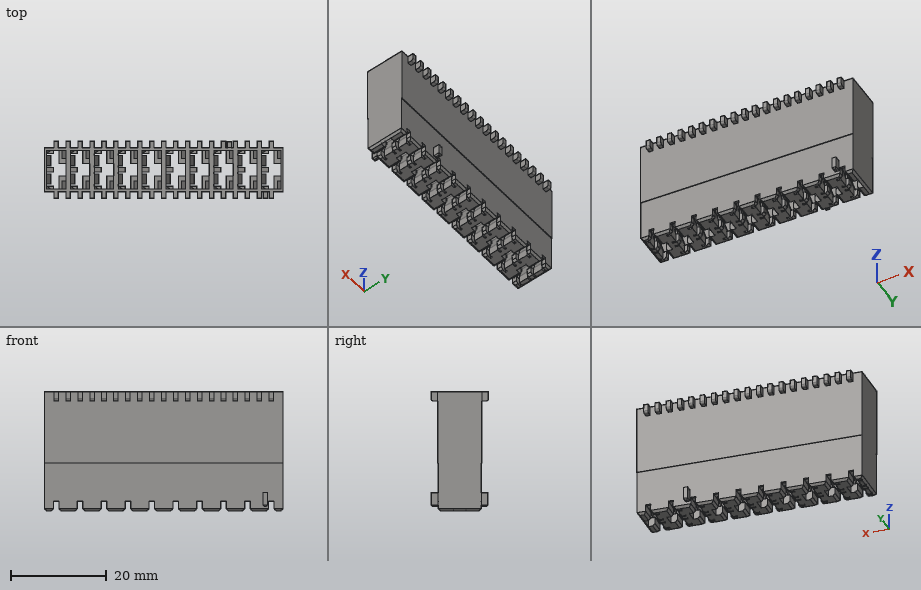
import cadquery as cq

CELL_COUNT = 10
CELL_PITCH = 5.0
LENGTH = CELL_COUNT * CELL_PITCH
HEIGHT = 25.0
UPPER_DEPTH = 9.25
LOWER_DEPTH = 9.0
STEP_Z = 10.0
BOTTOM_CHAMFER = 0.5

CELL_WIDTH = 4.0
CELL_DEPTH = 8.0

SLOT_WIDTH = 1.1
SLOT_HEIGHT = 2.0

DEPTH_OVER_RIBS = 12.0
RIB_WIDTH = 0.95
RIB_PITCH = CELL_PITCH / 2
RIB_COUNT = 2 * CELL_COUNT - 1
RIB_HEIGHT = 2.0
RIB_FILLET = 0.5

KEY_BOTTOM_Z = 0.95
KEY_TOP_Z = 3.85
KEY_CHAMFER = 0.3
FRONT_KEY_X = 8.5 * RIB_PITCH
BACK_KEY_X = 5.5 * RIB_PITCH
FRONT_KEY_REACH = DEPTH_OVER_RIBS / 2
BACK_KEY_REACH = 5.9

MIDDLE_PAD_HALF_DEPTH = 0.5
MIDDLE_PAD_RISE = 0.5
SPRING_INNER_Y = 0.83
SPRING_OUTER_Y = 3.0
SPRING_WIDTH = 0.9
SPRING_RISE = 3.3
CORNER_PAD_INNER_Y = 3.4
GUSSET_LENGTH = 0.8
GUSSET_HEIGHT = 2.5
LEDGE_INNER_Y = 1.28
LEDGE_RAMP_INNER_Y = 2.33
LEDGE_RAMP_WIDTH = 0.75
LEDGE_RAMP_RISE = 3.0

HALF_CELL_WIDTH = CELL_WIDTH / 2
HALF_CELL_DEPTH = CELL_DEPTH / 2
PAD_WIDTH = HALF_CELL_WIDTH - SLOT_WIDTH / 2
FLOOR_Z = SLOT_HEIGHT
CELL_CENTRES = [(i - (CELL_COUNT - 1) / 2) * CELL_PITCH for i in range(CELL_COUNT)]
RIB_CENTRES = [(i - (RIB_COUNT - 1) / 2) * RIB_PITCH for i in range(RIB_COUNT)]
SIDES = (-1, 1)


def box(x_range, y_range, z_range):
    """Axis-aligned box between two limits, in either order, on each axis."""
    lows = [min(r) for r in (x_range, y_range, z_range)]
    sizes = [abs(r[1] - r[0]) for r in (x_range, y_range, z_range)]
    return cq.Workplane("XY").box(*sizes, centered=False).translate(tuple(lows))


def prism_along_y(points, y_range):
    """XZ outline carried from one Y to another, in either order."""
    y_low = min(y_range)
    y_high = max(y_range)
    outline = cq.Workplane("XZ", origin=(0, y_low, 0)).polyline(points).close()
    return outline.extrude(y_low - y_high)


def housing():
    """Hollow stepped block with a chamfered foot, divided into cells."""
    lower = cq.Workplane("XY").box(LENGTH, LOWER_DEPTH, STEP_Z, centered=(True, True, False))
    lower = lower.faces("<Z").chamfer(BOTTOM_CHAMFER)
    upper_size = (LENGTH, UPPER_DEPTH, HEIGHT - STEP_Z)
    upper = cq.Workplane("XY", origin=(0, 0, STEP_Z)).box(*upper_size, centered=(True, True, False))
    cells = (
        cq.Workplane("XY")
        .pushPoints([(x, 0) for x in CELL_CENTRES])
        .rect(CELL_WIDTH, CELL_DEPTH)
        .extrude(HEIGHT)
    )
    return lower.union(upper).cut(cells)


def ramp(wall_x, width, rise, y_range):
    """Steep ramp on the floor, rising to the cell wall at wall_x; a positive width points to +X."""
    outline = [(wall_x, FLOOR_Z), (wall_x + width, FLOOR_Z), (wall_x, FLOOR_Z + rise)]
    return prism_along_y(outline, y_range)


def corner_gusset(side):
    """Three-sided pyramid standing on a corner pad, against both cell walls."""
    pad_depth = HALF_CELL_DEPTH - CORNER_PAD_INNER_Y
    apex = cq.Vector(-HALF_CELL_WIDTH, side * HALF_CELL_DEPTH, FLOOR_Z + GUSSET_HEIGHT)
    corner = cq.Vector(apex.x, apex.y, FLOOR_Z)
    along_x = corner + cq.Vector(GUSSET_LENGTH, 0, 0)
    along_y = corner - cq.Vector(0, side * pad_depth, 0)
    triangles = [
        (corner, along_x, along_y),
        (corner, along_x, apex),
        (corner, along_y, apex),
        (along_x, along_y, apex),
    ]
    faces = [cq.Face.makeFromWires(cq.Wire.makePolygon(t, close=True)) for t in triangles]
    return cq.Workplane(cq.Solid.makeSolid(cq.Shell.makeShell(faces)))


def cell_floor():
    """Pads, springs and ledges at the bottom of one cell centred on the Z axis."""
    left_wall = -HALF_CELL_WIDTH
    right_wall = HALF_CELL_WIDTH
    pad_x = (left_wall, left_wall + PAD_WIDTH)
    ledge_x = (right_wall - PAD_WIDTH, right_wall)
    floor_z = (0, FLOOR_Z)

    middle_outline = [
        (left_wall, 0),
        (left_wall + PAD_WIDTH, 0),
        (left_wall + PAD_WIDTH, FLOOR_Z),
        (left_wall, FLOOR_Z + MIDDLE_PAD_RISE),
    ]
    pieces = [prism_along_y(middle_outline, (-MIDDLE_PAD_HALF_DEPTH, MIDDLE_PAD_HALF_DEPTH))]
    for side in SIDES:
        wall_y = side * HALF_CELL_DEPTH
        spring_y = (side * SPRING_INNER_Y, side * SPRING_OUTER_Y)
        pieces += [
            box(pad_x, (side * CORNER_PAD_INNER_Y, wall_y), floor_z),
            corner_gusset(side),
            box((left_wall, left_wall + SPRING_WIDTH), spring_y, floor_z),
            ramp(left_wall, SPRING_WIDTH, SPRING_RISE, spring_y),
            box(ledge_x, (side * LEDGE_INNER_Y, wall_y), floor_z),
            ramp(right_wall, -LEDGE_RAMP_WIDTH, LEDGE_RAMP_RISE, (side * LEDGE_RAMP_INNER_Y, wall_y)),
        ]
    return pieces


def underside_slot():
    """Cutter for the slot under one cell, its mouth flared to match the foot chamfer."""
    half = SLOT_WIDTH / 2
    mouth = half + BOTTOM_CHAMFER
    outline = [
        (-mouth, 0),
        (mouth, 0),
        (half, BOTTOM_CHAMFER),
        (half, SLOT_HEIGHT),
        (-half, SLOT_HEIGHT),
        (-half, BOTTOM_CHAMFER),
    ]
    return prism_along_y(outline, (-LOWER_DEPTH / 2, LOWER_DEPTH / 2))


def top_rib(x, side):
    """Rib flush with the top, its outer lower edge rounded."""
    x_range = (x - RIB_WIDTH / 2, x + RIB_WIDTH / 2)
    y_range = (side * HALF_CELL_DEPTH, side * DEPTH_OVER_RIBS / 2)
    rib = box(x_range, y_range, (HEIGHT - RIB_HEIGHT, HEIGHT))
    outer_face = ">Y" if side > 0 else "<Y"
    return rib.faces(outer_face).edges("<Z").fillet(RIB_FILLET)


def key(x, side, reach):
    """Upright key near the foot, out to |Y| = reach, its lower end chamfered all round."""
    x_range = (x - RIB_WIDTH / 2, x + RIB_WIDTH / 2)
    y_range = (side * LOWER_DEPTH / 2, side * reach)
    block = box(x_range, y_range, (KEY_BOTTOM_Z, KEY_TOP_Z))
    return block.faces("<Z").chamfer(KEY_CHAMFER)


floor_pieces = cell_floor()
slot = underside_slot()

additions = [piece.translate((x, 0, 0)) for x in CELL_CENTRES for piece in floor_pieces]
additions += [top_rib(x, side) for x in RIB_CENTRES for side in SIDES]
additions += [key(FRONT_KEY_X, -1, FRONT_KEY_REACH), key(BACK_KEY_X, 1, BACK_KEY_REACH)]
slots = [slot.translate((x, 0, 0)).val() for x in CELL_CENTRES]

body = housing().val().fuse(*[piece.val() for piece in additions])
result = cq.Workplane(body.cut(*slots).clean())